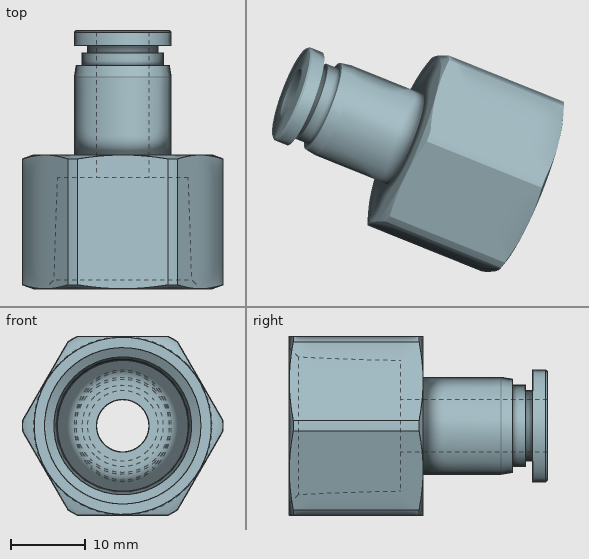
import cadquery as cq
import math


total_length = 34.7
hex_length = 18.0
front_y = -total_length / 2
back_y = total_length / 2
shoulder_y = front_y + hex_length

across_flats = 24.0
corner_diameter = 26.93
hex_chamfer_angle = 20.0
front_face_diameter = 23.77
back_face_diameter = 23.95

body_diameter = 13.0
body_tip_diameter = 12.5
body_taper_length = 1.53
ring_diameter = 10.9
ring_length = 1.7
neck_diameter = 9.47
neck_length = 0.97

collar_width = body_diameter
collar_height = 15.03
collar_thickness = 2.0
collar_chamfer = 0.25

mouth_diameter = 21.0
mouth_chamfer_depth = 1.25
bore_diameter = 18.5
bore_end_diameter = 17.55
bore_depth = 15.0
hole_diameter = 7.0

collar_y = back_y - collar_thickness
ring_end_y = collar_y - neck_length
body_end_y = ring_end_y - ring_length
taper_start_y = body_end_y - body_taper_length


def revolve_about_axis(profile):
    """Revolve a closed (radius, y) outline about the Y axis."""
    return cq.Workplane("XY").polyline(profile).close().revolve(360, (0, 0, 0), (0, 1, 0))


def plane_at(y):
    """Sketch plane at the given y, with its normal along +Y."""
    return cq.Workplane(cq.Plane(origin=(0, y, 0), xDir=(1, 0, 0), normal=(0, 1, 0)))


def make_hexagon():
    """Hexagonal prism with turned corners and a conical chamfer at both ends."""
    corner_radius = corner_diameter / 2
    front_radius = front_face_diameter / 2
    back_radius = back_face_diameter / 2
    slope = math.tan(math.radians(hex_chamfer_angle))
    front_drop = (corner_radius - front_radius) * slope
    back_drop = (corner_radius - back_radius) * slope
    across_corners = across_flats / math.cos(math.pi / 6)
    prism = plane_at(front_y).polygon(6, across_corners).extrude(hex_length)
    turned_blank = revolve_about_axis([
        (0, front_y),
        (front_radius, front_y),
        (corner_radius, front_y + front_drop),
        (corner_radius, shoulder_y - back_drop),
        (back_radius, shoulder_y),
        (0, shoulder_y),
    ])
    return prism.intersect(turned_blank)


def make_socket():
    """Stepped round body between the hexagon and the collar."""
    return revolve_about_axis([
        (0, shoulder_y),
        (body_diameter / 2, shoulder_y),
        (body_diameter / 2, taper_start_y),
        (body_tip_diameter / 2, body_end_y),
        (ring_diameter / 2, body_end_y),
        (ring_diameter / 2, ring_end_y),
        (neck_diameter / 2, ring_end_y),
        (neck_diameter / 2, collar_y),
        (0, collar_y),
    ])


def make_collar():
    """Elliptical collar, tall in Z, with a chamfered outer rim."""
    collar = plane_at(collar_y).ellipse(collar_width / 2, collar_height / 2).extrude(collar_thickness)
    return collar.faces(">Y").chamfer(collar_chamfer)


def make_bore():
    """Tapered female bore with a chamfered mouth."""
    bore_end_y = front_y + bore_depth
    return revolve_about_axis([
        (0, front_y),
        (mouth_diameter / 2, front_y),
        (bore_diameter / 2, front_y + mouth_chamfer_depth),
        (bore_end_diameter / 2, bore_end_y),
        (0, bore_end_y),
    ])


through_hole = plane_at(front_y).circle(hole_diameter / 2).extrude(total_length)

result = make_hexagon().union(make_socket()).union(make_collar()).cut(make_bore()).cut(through_hole)